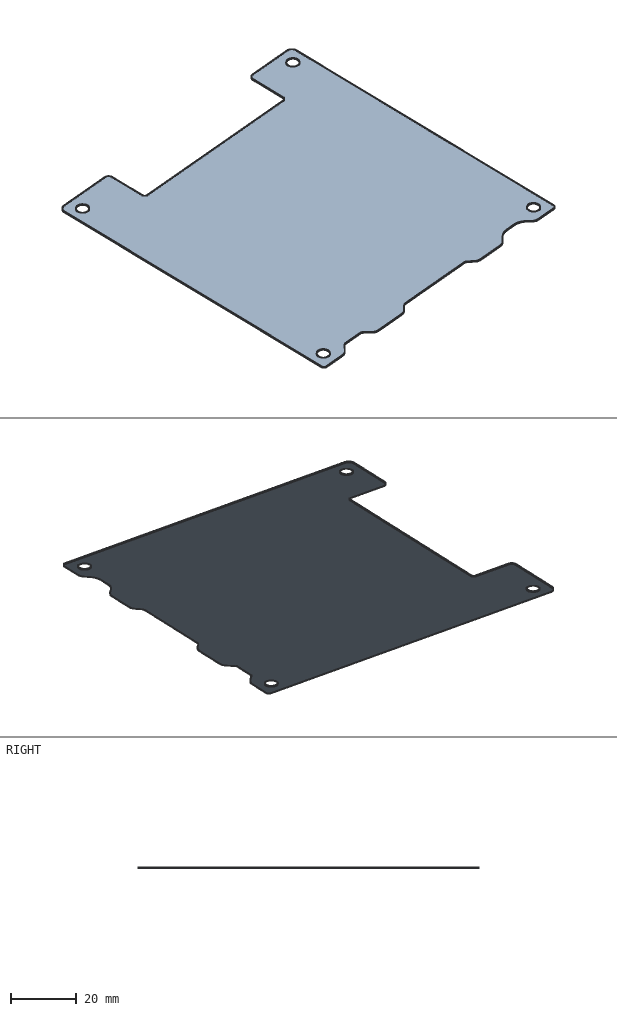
import cadquery as cq

length = 109.6
width = 103.2
thickness = 0.41
left, right = -length / 2, length / 2
bottom, top = -width / 2, width / 2
left_corner_radius = 2.0
right_corner_radius = 1.0

hole_diameter = 4.1
hole_left_inset = 5.0
hole_right_inset = 4.8
hole_edge_inset = 4.8

cutout_depth = 15.1
cutout_top_offset = 18.9
cutout_bottom_offset = 21.7
cutout_mouth_radius = 1.5
cutout_inner_radius = 1.0

recesses = [
    (9.0, 23.7, 3.6, 5.0),
    (34.7, 67.5, 2.6, 2.0),
    (80.1, 93.9, 3.2, 0.0),
]
recess_mouth_radius = 3.0


def round_corners(body, points, radius):
    """Fillet the vertical edges standing at the given XY points."""
    for x, y in points:
        edge = cq.selectors.NearestToPointSelector((x, y, thickness / 2))
        body = body.edges("|Z").edges(edge).fillet(radius)
    return body


def cut_outline(body, points):
    """Cut a closed outline through the plate."""
    return body.cut(cq.Workplane("XY").polyline(points).close().extrude(thickness))


def cut_left_cutout(body):
    upper = top - cutout_top_offset
    lower = bottom + cutout_bottom_offset
    inner = left + cutout_depth
    mouth = [(left, upper), (left, lower)]
    floor = [(inner, lower), (inner, upper)]
    body = cut_outline(body, mouth + floor)
    body = round_corners(body, mouth, cutout_mouth_radius)
    return round_corners(body, floor, cutout_inner_radius)


def cut_recess(body, start, end, depth, floor_radius):
    upper = top - start
    lower = top - end
    mouth = [(right, upper), (right, lower)]
    floor = [(right - depth, lower + depth), (right - depth, upper - depth)]
    body = cut_outline(body, mouth + floor)
    body = round_corners(body, mouth, recess_mouth_radius)
    if floor_radius > 0:
        body = round_corners(body, floor, floor_radius)
    return body


plate = cq.Workplane("XY").box(length, width, thickness, centered=(True, True, False))
plate = plate.edges("|Z and <X").fillet(left_corner_radius)
plate = plate.edges("|Z and >X").fillet(right_corner_radius)

plate = cut_left_cutout(plate)
for recess in recesses:
    plate = cut_recess(plate, *recess)

hole_centers = [
    (x, y)
    for x in (left + hole_left_inset, right - hole_right_inset)
    for y in (bottom + hole_edge_inset, top - hole_edge_inset)
]
holes = cq.Workplane("XY").pushPoints(hole_centers).circle(hole_diameter / 2).extrude(thickness)
result = plate.cut(holes)